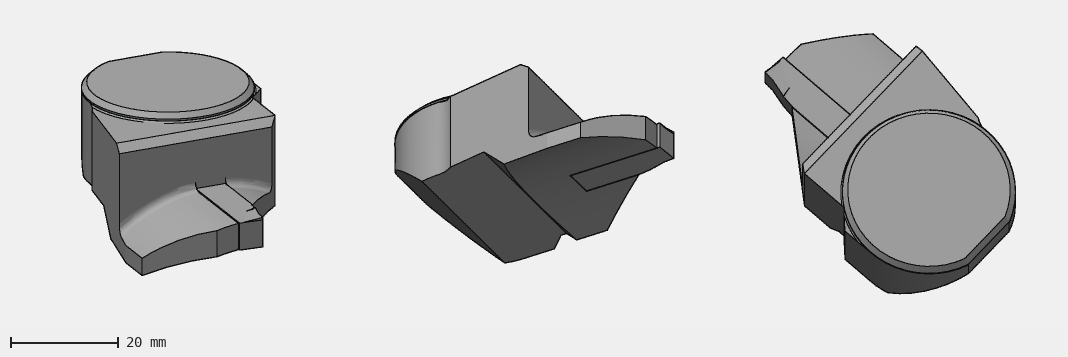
import cadquery as cq
import math

disc_top = 17.6
block_top = 15.9
lowest_z = -5.7

disc_radius = 16.05
rim_radius = 16.1
flat_x = -15.05
disc_chamfer = 1.0
disc_root_fillet = 0.35
rim_z = block_top + disc_root_fillet
flat_height = 11.2

corner_x = 6.5
back_y = 12.75
back_end_x = 19.7
neck_x, neck_y = 3.15, -17.1
arm_front_start_x = 26.0
arm_front_end_x = 33.05
arm_front_y = -20.9
arm_end_x = 40.1
arm_end_y = -8.85

wall_x = 21.55
wall_chamfer_x = 1.85
wall_chamfer_z = 1.4
wall_fillet = 1.5

step_x = 11.0
under_radius = 46.0
under_apex_y = 0.3
under_apex_z = -0.45
upper_radius = 29.2
upper_apex_y = -2.2
upper_apex_z = 4.65
arm_blank_top = upper_apex_z + wall_fillet

insert_back_y = 1.6
insert_front_y = -4.5
insert_top = 4.8
insert_bottom = -0.59
insert_straight_x = 32.55
insert_shoulder = (35.4, 1.25)
insert_neck = (38.95, 0.3)
insert_tip_x = flat_x + 56.1
insert_tip_y = 0.1
insert_front_x = 40.7
tip_top = 5.35
tip_inner = (35.75, -0.8)
tip_front = (40.55, -3.5)

margin = 5.6


def x_cylinder(radius, y, z, start_x, end_x):
    return cq.Workplane("YZ", origin=(start_x, y, z)).circle(radius).extrude(end_x - start_x)


def make_disc():
    lower_disc = cq.Workplane("XY").circle(disc_radius).extrude(rim_z)
    rim = (
        cq.Workplane("XY", origin=(0, 0, rim_z))
        .circle(rim_radius)
        .extrude(disc_top - rim_z)
        .faces(">Z")
        .chamfer(disc_chamfer)
    )
    flat_limit = (
        cq.Workplane("XY")
        .box(2 * rim_radius, 2 * rim_radius, disc_top, centered=(False, True, False))
        .translate((flat_x, 0, 0))
        .edges("<X and >Z")
        .chamfer(disc_chamfer)
    )
    return lower_disc.union(rim).intersect(flat_limit)


def make_block():
    """Block and full-height arm blank, joined to the disc by a concave neck."""
    neck_mid = (neck_x / 2, -disc_radius + (neck_y + disc_radius) / 4)
    return (
        cq.Workplane("XY", origin=(0, 0, lowest_z))
        .moveTo(0, disc_radius)
        .lineTo(corner_x, disc_radius)
        .lineTo(corner_x + disc_radius - back_y, back_y)
        .lineTo(back_end_x, back_y)
        .lineTo(arm_end_x, insert_front_y)
        .lineTo(arm_end_x, arm_end_y)
        .lineTo(arm_front_end_x, arm_front_y)
        .lineTo(arm_front_start_x, arm_front_y)
        .lineTo(neck_x, neck_y)
        .threePointArc(neck_mid, (0, -disc_radius))
        .close()
        .extrude(block_top - lowest_z)
    )


def make_side_profile():
    """Stepped XZ profile that limits the block from below and chamfers the wall top."""
    return (
        cq.Workplane("XZ")
        .moveTo(-margin, 0)
        .lineTo(step_x, 0)
        .lineTo(step_x - lowest_z, lowest_z)
        .lineTo(arm_end_x, lowest_z)
        .lineTo(arm_end_x, arm_blank_top)
        .lineTo(wall_x, arm_blank_top)
        .lineTo(wall_x, block_top - wall_chamfer_z)
        .lineTo(wall_x - wall_chamfer_x, block_top)
        .lineTo(-margin, block_top)
        .close()
        .extrude(2 * disc_radius, both=True)
    )


def make_upper_cut():
    """Space above the arm, rounded where the arm meets the wall."""
    depth = arm_end_x + margin - wall_x
    space = cq.Workplane("XY").box(
        depth, 4 * disc_radius, block_top - lowest_z + margin, centered=(False, True, False)
    ).translate((wall_x, 0, lowest_z - margin))
    arm_core = x_cylinder(
        upper_radius, upper_apex_y, upper_apex_z - upper_radius, wall_x - margin, arm_end_x + 2 * margin
    )
    fillet_top = upper_radius + wall_fillet
    half_root = math.sqrt(0.5)
    arc_mid = (wall_x + wall_fillet * (1 - half_root), fillet_top - wall_fillet * half_root)
    ring = (
        cq.Workplane("XY", origin=(0, upper_apex_y, upper_apex_z - upper_radius))
        .moveTo(wall_x, upper_radius - wall_fillet)
        .lineTo(wall_x, fillet_top)
        .threePointArc(arc_mid, (wall_x + wall_fillet, upper_radius))
        .lineTo(wall_x + wall_fillet, upper_radius - wall_fillet)
        .close()
        .revolve(360, (0, 0, 0), (1, 0, 0))
    )
    return space.cut(arm_core).cut(ring)


def make_slot():
    """Through slot in the arm that seats the insert."""
    return cq.Workplane("XY").box(
        arm_end_x + margin - wall_x,
        insert_back_y - insert_front_y,
        block_top - lowest_z + margin,
        centered=False,
    ).translate((wall_x, insert_front_y, lowest_z - margin))


def make_holder():
    head = make_disc()
    block = make_block().intersect(make_side_profile())
    holder = head.union(block)
    root_ring = (
        cq.Workplane("XZ")
        .moveTo(disc_radius, block_top)
        .lineTo(disc_radius + disc_root_fillet, block_top)
        .radiusArc((disc_radius, rim_z), disc_root_fillet)
        .close()
        .revolve(360, (0, 0, 0), (0, 1, 0))
    )
    block_footprint = make_block().translate((0, 0, disc_root_fillet))
    holder = holder.union(root_ring.intersect(block_footprint))

    slope_end_x = flat_x + flat_height
    head_cut = (
        cq.Workplane("XZ")
        .polyline([(flat_x, flat_height), (slope_end_x, 0), (flat_x, 0)])
        .close()
        .extrude(2 * disc_radius, both=True)
    )
    under_cut = x_cylinder(
        under_radius, under_apex_y, under_apex_z - under_radius, 0, arm_end_x + margin
    )
    return holder.cut(head_cut).cut(under_cut).cut(make_upper_cut()).cut(make_slot())


def make_insert():
    tip = (insert_tip_x, insert_tip_y)
    blade = (
        cq.Workplane("XY", origin=(0, 0, insert_bottom))
        .polyline([
            (wall_x, insert_front_y),
            (insert_front_x, insert_front_y),
            tip,
            insert_neck,
            insert_shoulder,
            (insert_straight_x, insert_back_y),
            (wall_x, insert_back_y),
        ])
        .close()
        .extrude(insert_top - insert_bottom)
    )
    raised_tip = (
        cq.Workplane("XY", origin=(0, 0, insert_top))
        .polyline([insert_shoulder, tip_inner, tip_front, tip, insert_neck])
        .close()
        .extrude(tip_top - insert_top)
    )
    edge_x = tip_front[0] - tip_inner[0]
    edge_y = tip_front[1] - tip_inner[1]
    edge_length = math.hypot(edge_x, edge_y)
    tip_run = (edge_x * (tip[1] - tip_inner[1]) - edge_y * (tip[0] - tip_inner[0])) / edge_length
    slope_plane = cq.Plane(
        origin=(*tip_inner, insert_top), xDir=(-edge_y, edge_x, 0), normal=(edge_x, edge_y, 0)
    )
    slope = (
        cq.Workplane(slope_plane)
        .polyline([(0, 0), (tip_run, 0), (tip_run, tip_top - insert_top)])
        .close()
        .extrude(2 * edge_length, both=True)
    )
    return blade.union(raised_tip.intersect(slope))


holder = make_holder()
insert = make_insert()
result = cq.Compound.makeCompound([*holder.solids().vals(), *insert.solids().vals()])